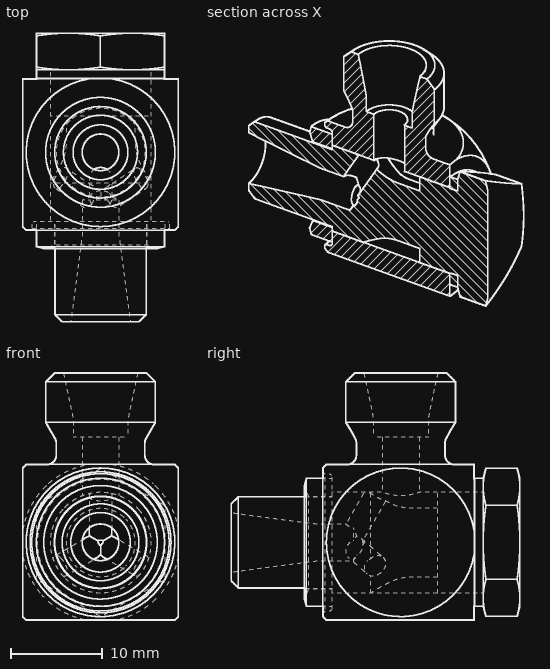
import cadquery as cq
import math


block_width = 17.0
block_front = -block_width / 2
block_rear = 8.0
block_top = block_width / 2
sphere_diameter = 23.5
bolt_bore_diameter = 11.0

recess_diameter = 15.0
recess_depth = 1.0
recess_fillet = 0.4
recess_chamfer = 0.2
ring_seat = block_front + recess_depth

port_top = 18.5
port_diameter = 12.0
port_chamfer = 1.0
port_thread_length = 5.4
neck_diameter = 9.7
neck_fillet = 1.0
neck_cone_angle = 30.0

seat_diameter = 8.1
seat_half_angle = 12.0
socket_diameter = 6.0
socket_depth = 7.0
passage_diameter = 4.0

hex_across_flats = 14.0
hex_height = 4.0
hex_bevel_angle = 15.0
head_front = 9.0
head_rear = head_front + hex_height

stud_diameter = 10.0
stud_tip = -18.5
stud_chamfer = 0.8
shank_diameter = bolt_bore_diameter
waist_diameter = 7.5
waist_rear = 4.0
waist_straight_front = 1.2
waist_cone_angle = 30.0
waist_fillet = 5.5

inlet_diameter = 6.5
channel_diameter = 4.0
channel_end = -5.2
drill_half_angle = 59.0
inlet_half_angle = 7.5
flow_hole_diameter = 2.5
flow_hole_start = -5.72
flow_hole_tilt = 30.0
flow_hole_count = 3

ring_diameter = 14.0
front_ring_bore = 10.1
front_ring_tip = -10.5
edge_diameter = 12.4
edge_outer_height = 0.22
edge_inner_depth = 0.41
rear_ring_chamfer = 0.1


def tangent(degrees):
    return math.tan(math.radians(degrees))


def revolve_profile(profile):
    """Close a half profile and revolve it about the vertical axis of its own workplane."""
    return profile.close().revolve(360, (0, 0, 0), (0, 1, 0))


def make_block():
    cube = cq.Workplane("XY").box(block_width, block_rear - block_front, block_width)
    cube = cube.translate((0, (block_front + block_rear) / 2, 0))
    return cube.intersect(cq.Workplane("XY").sphere(sphere_diameter / 2))


def make_spigot():
    """Threaded spigot with an undercut neck that flares into the block."""
    port_radius = port_diameter / 2
    neck_radius = neck_diameter / 2
    cone_angle = math.radians(neck_cone_angle)
    cone_top = port_top - port_thread_length
    arc_top_radius = neck_radius + neck_fillet * (1 - math.cos(cone_angle))
    arc_top = cone_top - (port_radius - arc_top_radius) / math.tan(cone_angle)
    arc_bottom = arc_top - neck_fillet * math.sin(cone_angle)
    arc_middle_radius = neck_radius + neck_fillet * (1 - math.cos(cone_angle / 2))
    arc_middle = arc_bottom + neck_fillet * math.sin(cone_angle / 2)
    flare_middle_radius = neck_radius + neck_fillet * (1 - math.sqrt(0.5))
    flare_middle = block_top + neck_fillet * (1 - math.sqrt(0.5))

    profile = (
        cq.Workplane("XZ")
        .lineTo(neck_radius + neck_fillet, 0)
        .lineTo(neck_radius + neck_fillet, block_top)
        .threePointArc((flare_middle_radius, flare_middle), (neck_radius, block_top + neck_fillet))
        .lineTo(neck_radius, arc_bottom)
        .threePointArc((arc_middle_radius, arc_middle), (arc_top_radius, arc_top))
        .lineTo(port_radius, cone_top)
        .lineTo(port_radius, port_top - port_chamfer)
        .lineTo(port_radius - port_chamfer, port_top)
        .lineTo(0, port_top)
    )
    return revolve_profile(profile)


def make_port_bore():
    seat_length = (seat_diameter - socket_diameter) / 2 / tangent(seat_half_angle)
    profile = (
        cq.Workplane("XZ")
        .lineTo(passage_diameter / 2, 0)
        .lineTo(passage_diameter / 2, port_top - socket_depth)
        .lineTo(socket_diameter / 2, port_top - socket_depth)
        .lineTo(socket_diameter / 2, port_top - seat_length)
        .lineTo(seat_diameter / 2, port_top)
        .lineTo(0, port_top)
    )
    return revolve_profile(profile)


def cylinder_along_y(diameter, start, end):
    return cq.Workplane("XZ", origin=(0, start, 0)).circle(diameter / 2).extrude(start - end)


def make_recess():
    """Seat of the front ring, with a chamfered mouth and a filleted floor."""
    radius = recess_diameter / 2
    arc_inset = recess_fillet * (1 - math.sqrt(0.5))
    profile = (
        cq.Workplane("XY")
        .moveTo(0, block_front)
        .lineTo(radius + recess_chamfer, block_front)
        .lineTo(radius, block_front + recess_chamfer)
        .lineTo(radius, ring_seat - recess_fillet)
        .threePointArc((radius - arc_inset, ring_seat - arc_inset), (radius - recess_fillet, ring_seat))
        .lineTo(0, ring_seat)
    )
    return revolve_profile(profile)


def make_housing():
    bolt_bore = cylinder_along_y(bolt_bore_diameter, block_front, block_rear)
    return make_block().union(make_spigot()).cut(make_port_bore()).cut(make_recess()).cut(bolt_bore)


def make_hex_head():
    """Hexagon with corners up and down, bevelled at both ends."""
    flat_radius = hex_across_flats / 2
    corner_radius = flat_radius / math.cos(math.pi / 6)
    bevel = (corner_radius - flat_radius) * tangent(hex_bevel_angle)
    prism = (
        cq.Workplane("XZ", origin=(0, head_front, 0))
        .transformed(rotate=(0, 0, 90))
        .polygon(6, 2 * corner_radius)
        .extrude(-hex_height)
    )
    envelope = (
        cq.Workplane("XY")
        .moveTo(0, head_front)
        .lineTo(flat_radius, head_front)
        .lineTo(corner_radius, head_front + bevel)
        .lineTo(corner_radius, head_rear - bevel)
        .lineTo(flat_radius, head_rear)
        .lineTo(0, head_rear)
    )
    return prism.intersect(revolve_profile(envelope))


def make_bolt_shaft():
    """Stud and shank, with a waist that flares forward through an arc into a cone."""
    shank_radius = shank_diameter / 2
    stud_radius = stud_diameter / 2
    waist_radius = waist_diameter / 2
    angle = math.radians(waist_cone_angle)
    arc_front = waist_straight_front - waist_fillet * math.sin(angle)
    arc_front_radius = waist_radius + waist_fillet * (1 - math.cos(angle))
    arc_middle = waist_straight_front - waist_fillet * math.sin(angle / 2)
    arc_middle_radius = waist_radius + waist_fillet * (1 - math.cos(angle / 2))
    cone_front = arc_front - (shank_radius - arc_front_radius) / math.tan(angle)

    profile = (
        cq.Workplane("XY")
        .moveTo(0, stud_tip)
        .lineTo(stud_radius - stud_chamfer, stud_tip)
        .lineTo(stud_radius, stud_tip + stud_chamfer)
        .lineTo(stud_radius, ring_seat)
        .lineTo(shank_radius, ring_seat)
        .lineTo(shank_radius, cone_front)
        .lineTo(arc_front_radius, arc_front)
        .threePointArc((arc_middle_radius, arc_middle), (waist_radius, waist_straight_front))
        .lineTo(waist_radius, waist_rear)
        .lineTo(shank_radius, waist_rear)
        .lineTo(shank_radius, head_front)
        .lineTo(0, head_front)
    )
    return revolve_profile(profile)


def make_bolt_bore():
    inlet_radius = inlet_diameter / 2
    channel_radius = channel_diameter / 2
    inlet_length = (inlet_radius - channel_radius) / tangent(inlet_half_angle)
    point_length = channel_radius / tangent(drill_half_angle)
    profile = (
        cq.Workplane("XY")
        .moveTo(0, stud_tip)
        .lineTo(inlet_radius, stud_tip)
        .lineTo(channel_radius, stud_tip + inlet_length)
        .lineTo(channel_radius, channel_end)
        .lineTo(0, channel_end + point_length)
    )
    return revolve_profile(profile)


def make_bolt():
    bolt = make_bolt_shaft().union(make_hex_head()).cut(make_bolt_bore())
    flow_hole = (
        cq.Workplane("XY", origin=(0, flow_hole_start, 0))
        .transformed(rotate=(-flow_hole_tilt, 0, 0))
        .circle(flow_hole_diameter / 2)
        .extrude(shank_diameter)
    )
    spacing = 360 / flow_hole_count
    for index in range(flow_hole_count):
        bolt = bolt.cut(flow_hole.rotate((0, 0, 0), (0, 1, 0), index * spacing))
    return bolt


def make_front_ring():
    """Ring in the housing recess with a circular sealing edge facing forward."""
    profile = (
        cq.Workplane("XY")
        .moveTo(front_ring_bore / 2, ring_seat)
        .lineTo(front_ring_bore / 2, front_ring_tip + edge_inner_depth)
        .lineTo(edge_diameter / 2, front_ring_tip)
        .lineTo(ring_diameter / 2, front_ring_tip + edge_outer_height)
        .lineTo(ring_diameter / 2, ring_seat)
    )
    return revolve_profile(profile)


def make_rear_ring():
    """Plain ring clamped between the housing and the bolt head."""
    ring = cylinder_along_y(ring_diameter, block_rear, head_front)
    ring = ring.faces("<Y").edges().chamfer(rear_ring_chamfer)
    return ring.cut(cylinder_along_y(shank_diameter, block_rear, head_front))


housing = make_housing()
bolt = make_bolt()
front_ring = make_front_ring()
rear_ring = make_rear_ring()

result = cq.Compound.makeCompound(
    [housing.val(), bolt.val(), front_ring.val(), rear_ring.val()]
)